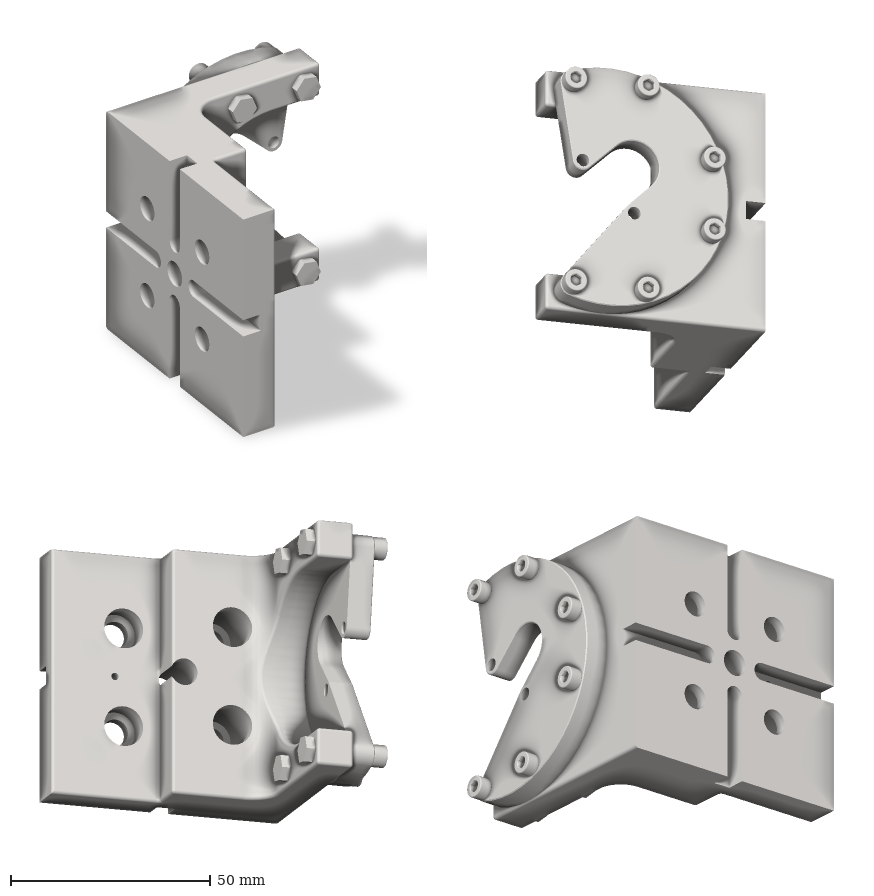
import cadquery as cq
import math

SIDE = 63.5
HALF = SIDE / 2
BRACKET_DEPTH = 57.78
WALL = 9.525
BASE = 9.65
STEP_X = 34.925
STEP_Y = 19.6
INNER_RADIUS = 6.35
EDGE_RADIUS = 0.79
BOX_MARGIN = 0.1

BOLT_HOLE = 6.7
BOLT_SPACING = 25.4
BOLT_SEAT = 3.175
BOLT_COUNTERBORE = 10.3
CENTRE_HOLE = 6.9
PIN_HOLE = 1.9
PIN_OFFSET = 15.0
SLOT_WIDTH = 4.76
SLOT_DEPTH = 5.2
SLOT_START = 6.35

PLATE = 6.4
PLATE_EDGE = 0.25
PLATE_Y = 43.28
PLATE_RADIUS = 31.6
CORNER_RADIUS = 3.025
SCREW_CIRCLE = PLATE_RADIUS - CORNER_RADIUS
SCREW_ANGLE = math.degrees(math.asin(1 / 3))
LUG_Y = 6.75
LUG_Z = 6.35
LUG_RADIUS = 2.54
LUG_HOLE = 3.3
NOTCH_RADIUS = 6.6

WINDOW_RADIUS = 22.25

HEAD_DIAMETER = 5.74
HEAD_HEIGHT = 3.46
HEAD_EDGE = 0.3
HEAD_BASE_EDGE = 0.15
SOCKET_FLATS = 2.78
SOCKET_DEPTH = 1.8
SOCKET_TURN = 30
SOCKET_MOUTH = 3.3
SOCKET_MOUTH_DEPTH = 0.3
NUT_FLATS = 6.35
NUT_HEIGHT = 2.38
NUT_TURN = 51
NUT_EDGE = 0.3


def yz_plane(x):
    """Sketch plane facing +X whose local axes are Y and Z."""
    return cq.Workplane("YZ", origin=(x, 0, 0))


def hexagon(plane, flats, height, turn=0):
    """Hexagonal prism with the given width across flats."""
    corner_diameter = flats / math.cos(math.radians(30))
    return plane.transformed(rotate=(0, 0, turn)).polygon(6, corner_diameter).extrude(height)


def edges_beside_fillet(solid, corner_x, corner_y, radius):
    """Z-parallel edges where a fillet in an inner corner runs into its two faces."""
    low = (corner_x - BOX_MARGIN, corner_y - BOX_MARGIN, -HALF)
    high = (corner_x + radius + BOX_MARGIN, corner_y + radius + BOX_MARGIN, HALF)
    return solid.edges("|Z").edges(cq.selectors.BoxSelector(low, high))


def fillet_inner_corner(solid, corner_x, corner_y, radius):
    """Round the Z-parallel inner edge at the given corner."""
    corner = cq.selectors.NearestToPointSelector((corner_x, corner_y, 0))
    return solid.edges(corner).fillet(radius)


def make_angle():
    """Stepped angle with the wall window, edges rounded except around the front face."""
    angle = (
        cq.Workplane("XY", origin=(0, 0, -HALF))
        .polyline([
            (0, 0), (SIDE, 0), (SIDE, BASE), (STEP_X, BASE),
            (STEP_X, STEP_Y), (WALL, STEP_Y), (WALL, BRACKET_DEPTH), (0, BRACKET_DEPTH),
        ])
        .close()
        .extrude(SIDE)
    )
    angle = fillet_inner_corner(angle, WALL, STEP_Y, INNER_RADIUS)
    angle = fillet_inner_corner(angle, STEP_X, BASE, EDGE_RADIUS)

    window = (
        yz_plane(0)
        .moveTo(BRACKET_DEPTH, -WINDOW_RADIUS)
        .lineTo(BRACKET_DEPTH, WINDOW_RADIUS)
        .lineTo(PLATE_Y, WINDOW_RADIUS)
        .threePointArc((PLATE_Y - WINDOW_RADIUS, 0), (PLATE_Y, -WINDOW_RADIUS))
        .close()
        .extrude(STEP_X)
    )
    angle = angle.cut(window)

    sharp = angle.faces("<Y").edges().add(angle.faces(">X").edges("not |Z"))
    sharp = sharp.add(edges_beside_fillet(angle, WALL, STEP_Y, INNER_RADIUS))
    sharp = sharp.add(edges_beside_fillet(angle, STEP_X, BASE, EDGE_RADIUS)).vals()
    return angle.newObject([edge for edge in angle.edges().vals() if edge not in sharp]).fillet(EDGE_RADIUS)


def cut_front_pattern(angle):
    """Through holes, the bolt counterbores from behind and the four radial slots in the front face."""
    front = cq.Workplane("XZ", origin=(HALF, 0, 0))
    bolts = front.rect(BOLT_SPACING, BOLT_SPACING, forConstruction=True).vertices()
    angle = angle.cut(bolts.circle(BOLT_HOLE / 2).extrude(-BRACKET_DEPTH))
    seat = cq.Workplane("XZ", origin=(HALF, BOLT_SEAT, 0))
    seats = seat.rect(BOLT_SPACING, BOLT_SPACING, forConstruction=True).vertices()
    angle = angle.cut(seats.circle(BOLT_COUNTERBORE / 2).extrude(-BRACKET_DEPTH))
    angle = angle.cut(front.circle(CENTRE_HOLE / 2).extrude(-BRACKET_DEPTH))
    angle = angle.cut(front.center(PIN_OFFSET, 0).circle(PIN_HOLE / 2).extrude(-BRACKET_DEPTH))
    for turn in (0, 90, 180, 270):
        slot = (
            front.transformed(rotate=(0, 0, turn))
            .center(SLOT_START + HALF, 0)
            .slot2D(SIDE, SLOT_WIDTH)
            .extrude(-SLOT_DEPTH)
        )
        angle = angle.cut(slot)
    return angle


def polar(centre, radius, angle):
    """Point at the given radius and angle (radians) from a centre."""
    return (centre[0] + radius * math.cos(angle), centre[1] + radius * math.sin(angle))


def tangent(start, end):
    """Tangent line between two circles (y, z, radius); radius > 0 runs counter-clockwise."""
    gap_y = end[0] - start[0]
    gap_z = end[1] - start[1]
    lean = math.asin((end[2] - start[2]) / math.hypot(gap_y, gap_z))
    normal = math.atan2(gap_z, gap_y) + math.pi / 2 - lean
    return polar(start, -start[2], normal), polar(end, -end[2], normal)


def arc_middle(circle, start, end):
    """Middle of the arc from start to end in the circle's running direction."""
    y, z, radius = circle
    first = math.atan2(start[1] - z, start[0] - y)
    last = math.atan2(end[1] - z, end[0] - y)
    turn = math.copysign(1, radius)
    sweep = (turn * (last - first)) % (2 * math.pi)
    return polar(circle, abs(radius), first + turn * sweep / 2)


def screw_centres():
    """Six screws on a circle, mirrored about Z = 0 and open towards +Y."""
    angles = [90 - SCREW_ANGLE, 90 + SCREW_ANGLE, 180 - SCREW_ANGLE]
    upper = [polar((PLATE_Y, 0), SCREW_CIRCLE, math.radians(a)) for a in angles]
    lower = [(y, -z) for y, z in reversed(upper)]
    return upper + lower


def make_plate():
    """C-shaped plate: a round disc whose mouth is bounded by tangent lines and arcs."""
    upper_corner = (*screw_centres()[0], CORNER_RADIUS)
    lower_corner = (*screw_centres()[-1], CORNER_RADIUS)
    upper_lug = (PLATE_Y + LUG_Y, LUG_Z, LUG_RADIUS)
    lower_lug = (PLATE_Y - LUG_Y, -LUG_Z, LUG_RADIUS)
    notch = (PLATE_Y - LUG_Y, LUG_Z, -NOTCH_RADIUS)
    mouth = [lower_corner, lower_lug, notch, upper_lug, upper_corner]
    rim_angle = math.radians(90 - SCREW_ANGLE)
    rim_top = polar((PLATE_Y, 0), PLATE_RADIUS, rim_angle)
    rim_bottom = polar((PLATE_Y, 0), PLATE_RADIUS, -rim_angle)

    outline = yz_plane(-PLATE).moveTo(*rim_top)
    outline = outline.threePointArc((PLATE_Y - PLATE_RADIUS, 0), rim_bottom)
    arc_start = rim_bottom
    for circle, following in zip(mouth, mouth[1:]):
        line_start, line_end = tangent(circle, following)
        outline = outline.threePointArc(arc_middle(circle, arc_start, line_start), line_start)
        outline = outline.lineTo(*line_end)
        arc_start = line_end
    outline = outline.threePointArc(arc_middle(upper_corner, arc_start, rim_top), rim_top)

    plate = outline.close().extrude(PLATE).faces("<X").edges().chamfer(PLATE_EDGE)
    lug_holes = yz_plane(-PLATE).pushPoints([upper_lug[:2], lower_lug[:2]])
    return plate.cut(lug_holes.circle(LUG_HOLE / 2).extrude(PLATE))


def make_screw_head(centre):
    """Cylindrical screw head on the plate with a hexagon socket."""
    head_x = -PLATE - HEAD_HEIGHT
    head = yz_plane(head_x).center(*centre).circle(HEAD_DIAMETER / 2).extrude(HEAD_HEIGHT)
    head = head.faces("<X").edges().fillet(HEAD_EDGE)
    head = head.faces(">X").edges().chamfer(HEAD_BASE_EDGE)
    socket = hexagon(yz_plane(head_x).center(*centre), SOCKET_FLATS, SOCKET_DEPTH, SOCKET_TURN)
    mouth = yz_plane(head_x).center(*centre).circle(SOCKET_MOUTH / 2)
    return head.cut(socket).cut(mouth.extrude(SOCKET_MOUTH_DEPTH, taper=45))


def make_nut(centre):
    """Hexagon nut on the inner wall face, its corners bevelled on the wall side."""
    nut = hexagon(yz_plane(WALL).center(*centre), NUT_FLATS, NUT_HEIGHT, NUT_TURN)
    corner_radius = NUT_FLATS / math.sqrt(3)
    bevel = yz_plane(WALL).center(*centre).circle(corner_radius).extrude(NUT_HEIGHT)
    return nut.intersect(bevel.faces("<X").chamfer(NUT_EDGE))


result = cut_front_pattern(make_angle()).union(make_plate())
for screw_centre in screw_centres():
    result = result.union(make_screw_head(screw_centre))
    if screw_centre[0] > STEP_Y:
        result = result.union(make_nut(screw_centre))